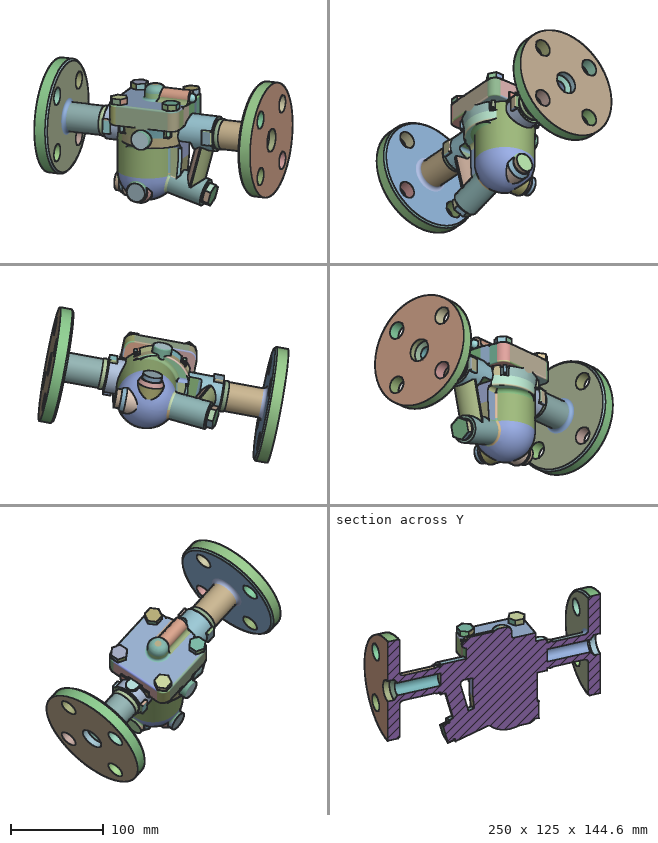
import cadquery as cq
import math


overall_length = 250.0
half_length = overall_length / 2
flange_radius = 62.5
flange_thickness = 14.5
flange_edge = 2.0
flange_hole_diameter = 19.0
flange_hole_circle = 90.0
pipe_radius = 16.0
hub_fillet = 4.0
socket_radius = 12.5
socket_depth = 7.5
bore_radius = 7.5
socket_cone_length = 4.0
weld_start = 64.0
weld_end = 69.2
weld_radius = 17.0

port_radius = 19.0
port_end = 62.8
inlet_lug_length = 8.5
outlet_lug_length = 11.0
lug_edge = 0.8
lug_height = 16.0
lug_reach = 20.5
outlet_floor = -7.5
outlet_notch_end = 38.8
outlet_notch_fillet = 3.0
tongue_end = 61.8
tongue_width = 13.5

cover_x = -9.5
cover_width = 80.0
cover_corner = 10.0
cover_top = 32.0
joint_z = 21.5
seat_z = 8.8
cover_edge = 2.0
seat_edge = 1.5
pad_half_width = 19.0
pad_right = 32.8
pad_left = -51.0
inlet_pad_top = 18.0
inlet_pad_bottom = 6.8
inlet_pad_edge = 2.5
bolt_offset = 30.0
bolt_head_across_corners = 19.0
bolt_head_height = 6.5
bolt_end_offset = 27.0
bolt_end_radius = 2.0
bolt_end_flat = 1.0
bolt_end_taper = 1.5
bolt_recess_radius = 4.8

dome_radius = 11.5
dome_top = 47.8
dome_rounding = 7.8
dome_foot = 2.5
tube_radius = 8.2
tube_z = 37.0
tube_end = 31.8
tube_tip_x = 32.8
tube_tip_radius = 5.0

vessel_x = -18.5
vessel_radius = 32.5
vessel_spring_z = -49.5
neck_radius = 38.5
neck_left = -37.8
neck_right = 25.0
neck_flare_z = -1.5
neck_flare = 2.2
neck_bottom = -13.0
neck_rounding = 1.5
neck_blend = 4.2
rib_half_width = 12.5
rib_taper_z = -30.2
rib_foot_x = 23.0
rib_foot_z = -52.5
rib_edge = 3.0
rib_blend = 2.5

plug_radius = 10.5
plug_edge = 1.0
neck_plug_x = -9.5
neck_plug_z = -3.0
neck_plug_end = 45.0
low_plug_z = -65.8
low_plug_reach = 34.5
low_boss_radius = 14.5
low_boss_reach = 23.8
low_collar_reach = 29.0
low_collar_radius = 11.5
low_collar_fillet = 2.0

tilt = math.radians(15)
barrel_radius = 15.0
barrel_length = 70.0
barrel_fillet = 3.0
washer_radius = 11.5
washer_thickness = 1.5
strainer_plug_across_corners = 25.0
strainer_plug_length = 7.0
strut_distance = 55.5
strut_length = 52.5
strut_width = 19.0
strut_depth = 28.5
strut_ridge = 1.5


def x_cylinder(radius, x_from, x_to):
    return cq.Workplane("YZ", origin=(x_from, 0, 0)).circle(radius).extrude(x_to - x_from)


def rounded_square(z_from, z_to):
    return (
        cq.Workplane("XY", origin=(cover_x, 0, z_from))
        .rect(cover_width, cover_width)
        .extrude(z_to - z_from)
        .edges("|Z")
        .fillet(cover_corner)
    )


def inlet_flange_and_pipe():
    """Flange, pipe and weld bead on the -X side."""
    face_x = -half_length
    back_x = face_x + flange_thickness
    hub_radius = pipe_radius + hub_fillet
    hub_mid = hub_fillet * (1 - math.sqrt(0.5))
    profile = (
        cq.Workplane("XY")
        .moveTo(face_x, 0)
        .lineTo(face_x, flange_radius)
        .lineTo(back_x - flange_edge, flange_radius)
        .lineTo(back_x, flange_radius - flange_edge)
        .lineTo(back_x, hub_radius)
        .threePointArc((back_x + hub_mid, pipe_radius + hub_mid), (back_x + hub_fillet, pipe_radius))
        .lineTo(-port_end, pipe_radius)
        .lineTo(-port_end, 0)
        .close()
    )
    body = profile.revolve(360, (0, 0, 0), (1, 0, 0))
    bead = (
        cq.Workplane("XY")
        .moveTo(-weld_end, 0)
        .lineTo(-weld_end, pipe_radius)
        .threePointArc((-(weld_start + weld_end) / 2, weld_radius), (-weld_start, pipe_radius))
        .lineTo(-weld_start, 0)
        .close()
        .revolve(360, (0, 0, 0), (1, 0, 0))
    )
    holes = (
        cq.Workplane("YZ", origin=(face_x, 0, 0))
        .polarArray(flange_hole_circle / 2, 45, 360, 4)
        .circle(flange_hole_diameter / 2)
        .extrude(flange_thickness)
    )
    cone_x = face_x + socket_depth
    bore = (
        cq.Workplane("XY")
        .moveTo(face_x, 0)
        .lineTo(face_x, socket_radius)
        .lineTo(cone_x, socket_radius)
        .lineTo(cone_x + socket_cone_length, bore_radius)
        .lineTo(-port_end, bore_radius)
        .lineTo(-port_end, 0)
        .close()
        .revolve(360, (0, 0, 0), (1, 0, 0))
    )
    return body.union(bead).cut(holes).cut(bore)


def port_lugs(x_start, length):
    """Flat wrench lugs on both sides of a port."""
    return (
        cq.Workplane("XY", origin=(x_start + length / 2, 0, 0))
        .box(length, 2 * lug_reach, lug_height)
        .edges("|Z or |X")
        .fillet(lug_edge)
    )


def inlet_port():
    tube = x_cylinder(port_radius, -port_end, vessel_x)
    tongue_centre = -tongue_end + tongue_width / 2
    tongue = (
        cq.Workplane("XY", origin=(tongue_centre, 0, 0)).circle(tongue_width / 2).extrude(joint_z)
    )
    tongue_body = (
        cq.Workplane("XY")
        .rect(vessel_x - tongue_centre, tongue_width)
        .extrude(joint_z)
        .translate(((vessel_x + tongue_centre) / 2, 0, 0))
    )
    lugs = port_lugs(-port_end, inlet_lug_length)
    return tube.union(tongue).union(tongue_body).union(lugs)


def outlet_port():
    """Full round at the outer end, with a raised floor beside the vessel."""
    tube = x_cylinder(port_radius, cover_x, port_end)
    notch_length = outlet_notch_end - cover_x
    notch = (
        cq.Workplane("XY", origin=(cover_x, 0, outlet_floor))
        .rect(2 * notch_length, 4 * port_radius)
        .extrude(-2 * port_radius)
        .edges(">X and >Z")
        .fillet(outlet_notch_fillet)
    )
    return tube.cut(notch).union(port_lugs(port_end - outlet_lug_length, outlet_lug_length))


def outlet_pad():
    """Tapered bulge of the cover and body flange on the outlet side."""
    bottom = seat_z + seat_edge
    side = cover_x + cover_width / 2
    return (
        cq.Workplane("XY", origin=(0, 0, bottom))
        .polyline([(cover_x, -pad_half_width), (side, -pad_half_width), (pad_right, -tube_radius),
                   (pad_right, tube_radius), (side, pad_half_width), (cover_x, pad_half_width)])
        .close()
        .extrude(cover_top - bottom)
    )


def inlet_pad():
    """Block under the body flange on the inlet side."""
    return (
        cq.Workplane("XY", origin=(0, 0, inlet_pad_bottom))
        .moveTo((pad_left + cover_x) / 2, 0)
        .rect(cover_x - pad_left, 2 * pad_half_width)
        .extrude(inlet_pad_top - inlet_pad_bottom)
        .edges("<X and <Z")
        .fillet(inlet_pad_edge)
    )


def cover_and_seat():
    seat = rounded_square(seat_z, joint_z).faces("<Z").edges().fillet(seat_edge)
    cover = rounded_square(joint_z, cover_top).faces(">Z").edges().fillet(cover_edge)
    return seat.union(cover).union(outlet_pad()).union(inlet_pad())


def bolt_places(offset):
    """Sign pairs and centres of the four bolts, with the given X distance from the cover axis."""
    return [
        (side_x, side_y, cover_x + side_x * offset, side_y * bolt_offset)
        for side_x in (-1, 1)
        for side_y in (-1, 1)
    ]


def bolt_heads():
    heads = cq.Workplane("XY")
    for side_x, side_y, x, y in bolt_places(bolt_offset):
        turn = 30 if side_x * side_y < 0 else 0
        head = (
            cq.Workplane("XY")
            .polygon(6, bolt_head_across_corners)
            .extrude(bolt_head_height)
            .rotate((0, 0, 0), (0, 0, 1), turn)
            .translate((x, y, cover_top))
        )
        heads = heads.union(head)
    return heads


def bolt_ends():
    """Pointed bolt ends below the body flange."""
    top = seat_z + seat_edge
    end = (
        cq.Workplane("XZ")
        .polyline([(0, top), (bolt_end_radius, top), (bolt_end_radius, neck_flare_z + bolt_end_taper),
                   (bolt_end_flat, neck_flare_z), (0, neck_flare_z)])
        .close()
        .revolve(360, (0, 0, 0), (0, 1, 0))
    )
    ends = cq.Workplane("XY")
    for _, _, x, y in bolt_places(bolt_end_offset):
        ends = ends.union(end.translate((x, y, 0)))
    return ends


def dome_and_tube():
    dome = (
        cq.Workplane("XY", origin=(cover_x, 0, cover_top))
        .circle(dome_radius)
        .extrude(dome_top - cover_top)
        .faces(">Z")
        .edges()
        .fillet(dome_rounding)
    )
    foot_mid = dome_foot * (1 - math.sqrt(0.5))
    foot = (
        cq.Workplane("XZ")
        .moveTo(0, cover_top)
        .lineTo(dome_radius + dome_foot, cover_top)
        .threePointArc((dome_radius + foot_mid, cover_top + foot_mid),
                       (dome_radius, cover_top + dome_foot))
        .lineTo(0, cover_top + dome_foot)
        .close()
        .revolve(360, (0, 0, 0), (0, 1, 0))
        .translate((cover_x, 0, 0))
    )
    flare = tube_z - cover_top
    flare_mid = flare * (1 - math.sqrt(0.5))
    tube = (
        cq.Workplane("YZ", origin=(cover_x, 0, 0))
        .moveTo(-tube_radius - flare, cover_top)
        .threePointArc((-tube_radius - flare_mid, cover_top + flare_mid), (-tube_radius, tube_z))
        .threePointArc((0, tube_z + tube_radius), (tube_radius, tube_z))
        .threePointArc((tube_radius + flare_mid, cover_top + flare_mid),
                       (tube_radius + flare, cover_top))
        .close()
        .extrude(tube_end - cover_x)
    )
    tip = cq.Workplane("XY", origin=(tube_tip_x, 0, tube_z)).sphere(tube_tip_radius)
    return dome.union(foot).union(tube).union(tip)


def vessel():
    wall = (
        cq.Workplane("XY", origin=(vessel_x, 0, vessel_spring_z))
        .circle(vessel_radius)
        .extrude(joint_z - vessel_spring_z)
    )
    bottom = cq.Workplane("XY", origin=(vessel_x, 0, vessel_spring_z)).sphere(vessel_radius)
    return wall.union(bottom)


def neck():
    """Wider drum below the body flange, cut flat on both X sides and blended into the vessel."""
    top = seat_z + seat_edge
    mid = neck_rounding * math.sqrt(0.5)
    blend_z = neck_bottom - neck_blend
    drum = (
        cq.Workplane("XZ")
        .moveTo(0, top)
        .lineTo(neck_radius + neck_flare, top)
        .lineTo(neck_radius, neck_flare_z)
        .lineTo(neck_radius, neck_bottom + neck_rounding)
        .threePointArc((neck_radius - neck_rounding + mid, neck_bottom + neck_rounding - mid),
                       (neck_radius - neck_rounding, neck_bottom))
        .lineTo(0, neck_bottom)
        .close()
        .revolve(360, (0, 0, 0), (0, 1, 0))
        .translate((cover_x, 0, 0))
    )
    blend_mid = neck_blend * (1 - math.sqrt(0.5))
    blend = (
        cq.Workplane("XZ")
        .moveTo(0, neck_bottom)
        .lineTo(vessel_radius + neck_blend, neck_bottom)
        .threePointArc((vessel_radius + blend_mid, neck_bottom - blend_mid), (vessel_radius, blend_z))
        .lineTo(0, blend_z)
        .close()
        .revolve(360, (0, 0, 0), (0, 1, 0))
        .translate((vessel_x, 0, 0))
    )
    rib_side = rib_half_width
    under_rib = (
        cq.Workplane("YZ", origin=(vessel_x, 0, 0))
        .moveTo(-rib_side - neck_blend, neck_bottom)
        .threePointArc((-rib_side - blend_mid, neck_bottom - blend_mid), (-rib_side, blend_z))
        .lineTo(rib_side, blend_z)
        .threePointArc((rib_side + blend_mid, neck_bottom - blend_mid),
                       (rib_side + neck_blend, neck_bottom))
        .close()
        .extrude(neck_right - vessel_x)
    )
    below_drum = (
        cq.Workplane("XY", origin=(cover_x, 0, blend_z))
        .circle(neck_radius - neck_rounding)
        .extrude(neck_blend)
    )
    slab = (
        cq.Workplane("XY")
        .box(neck_right - neck_left, cover_width, 4 * neck_radius)
        .translate(((neck_left + neck_right) / 2, 0, 0))
    )
    recesses = (
        cq.Workplane("XY", origin=(0, 0, neck_flare_z))
        .pushPoints([(x, y) for _, _, x, y in bolt_places(bolt_end_offset)])
        .circle(bolt_recess_radius)
        .extrude(top - neck_flare_z)
    )
    return drum.union(blend.union(under_rib).intersect(below_drum)).intersect(slab).cut(recesses)


def rib():
    outer_edges = cq.selectors.BoxSelector((20, -22.5, -49.8), (27.5, -10, -12.5))
    return (
        cq.Workplane("XZ", origin=(0, rib_half_width, 0))
        .polyline([(vessel_x, neck_bottom), (neck_right, neck_bottom), (neck_right, rib_taper_z),
                   (rib_foot_x, rib_foot_z), (vessel_x, rib_foot_z)])
        .close()
        .extrude(2 * rib_half_width)
        .edges(outer_edges)
        .chamfer(rib_edge)
    )


def neck_plug():
    return (
        cq.Workplane("XZ", origin=(neck_plug_x, 0, neck_plug_z))
        .circle(plug_radius)
        .extrude(neck_plug_end)
        .faces("<Y")
        .edges()
        .fillet(plug_edge)
    )


def low_plug(turn):
    """Bottom plug facing -Y before it is turned about the vessel axis."""
    plug = (
        cq.Workplane("XY")
        .moveTo(0, 0)
        .lineTo(low_boss_radius, 0)
        .lineTo(low_boss_radius, -low_boss_reach)
        .lineTo(low_collar_radius, -low_collar_reach)
        .lineTo(plug_radius, -low_collar_reach)
        .lineTo(plug_radius, -low_plug_reach)
        .lineTo(0, -low_plug_reach)
        .close()
        .revolve(360, (0, 0, 0), (0, 1, 0))
    )
    return plug.rotate((0, 0, 0), (0, 0, 1), turn).translate((vessel_x, 0, low_plug_z))


def strainer():
    """Barrel sloping down toward +X with a hexagon plug, and the strut square to it."""
    along = cq.Vector(math.cos(tilt), 0, -math.sin(tilt))
    across = cq.Vector(math.sin(tilt), 0, math.cos(tilt))
    start = cq.Vector(vessel_x, 0, vessel_spring_z)

    def section(distance):
        return cq.Workplane(cq.Plane(start + along * distance, across, along))

    barrel = section(0).circle(barrel_radius).extrude(barrel_length)
    washer = section(barrel_length).circle(washer_radius).extrude(washer_thickness)
    plug = (
        section(barrel_length + washer_thickness)
        .polygon(6, strainer_plug_across_corners)
        .extrude(strainer_plug_length)
    )
    ridge = strut_ridge / 2
    tip = strut_depth / 2
    side = strut_width / 2
    strut = (
        cq.Workplane(cq.Plane(start + along * strut_distance, along, across))
        .moveTo(ridge, -tip)
        .threePointArc((side, 0), (ridge, tip))
        .lineTo(-ridge, tip)
        .threePointArc((-side, 0), (-ridge, -tip))
        .close()
        .extrude(strut_length)
    )
    return barrel.union(strut).union(washer).union(plug)


def vessel_with_branches():
    """Vessel with its low plugs, strainer and rib, each blended into the wall."""
    box = cq.selectors.BoxSelector
    near_x = vessel_x - vessel_radius
    front_collar = box((vessel_x - 2.5, -32.5, -58.8), (vessel_x + 2.5, -30, -53.8))
    side_collar = box((near_x, -2.5, -58.8), (near_x + 2.5, 2.5, -53.8))
    barrel_root = box((5, -15, -65), (15, 15, -42.5))
    rib_root = box((7.5, -17.5, rib_foot_z), (15, 17.5, neck_bottom))

    body = vessel().union(low_plug(0)).union(low_plug(-90))
    body = body.edges(front_collar + side_collar).fillet(low_collar_fillet)
    body = body.union(strainer()).edges(barrel_root).fillet(barrel_fillet)
    return body.union(rib()).edges("|Z").edges(rib_root).fillet(rib_blend)


inlet_side = inlet_flange_and_pipe()
outlet_side = inlet_side.mirror("YZ")

result = vessel_with_branches().union(neck())
result = result.union(inlet_port()).union(outlet_port()).union(neck_plug())
result = result.union(cover_and_seat())
result = result.union(dome_and_tube()).union(bolt_heads()).union(bolt_ends())
result = result.union(inlet_side).union(outlet_side)